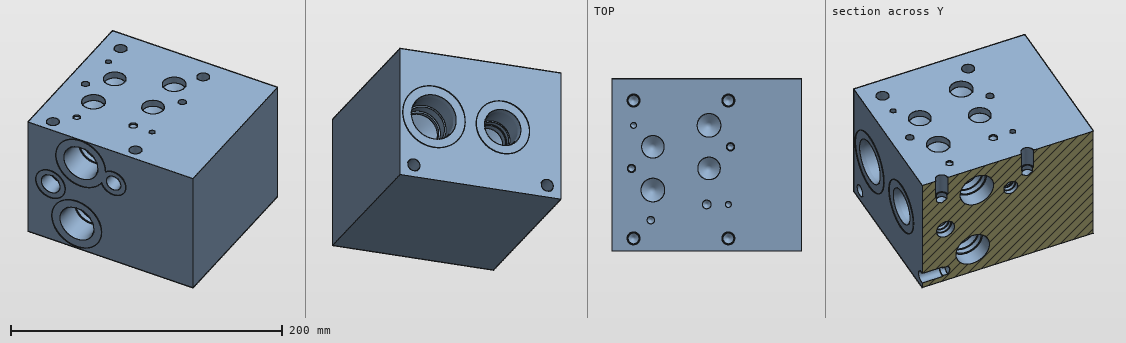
import cadquery as cq
import math

LENGTH_X = 139.7
LENGTH_Y = 127.0
LENGTH_Z = 101.5

DRILL_POINT_ANGLE = 118
ENTRY_CONE_HALF_ANGLE = 12

SPOTFACE_DEPTH = 0.5

PORT_EXTRA_LARGE = (49.2, 35.3, 33.8, 31.3, 28.6, 19.5, 28, 30.7)
PORT_LARGE = (42.0, 28.6, 27.0, 24.9, 23.0, 21, 25.1, 30.7)
PORT_MEDIUM = (24.9, 15.8, 14.2, 12.9, 11.5, 14, 16.8, 19.5)
PORT_SMALL = (21.1, 12.3, 11.0, 9.8, 8.7, 12.6, 15.4, 16.8)

SIDE_PORT_Z = LENGTH_Z / 2
TANK_PORT_Y = 100.2
PRESSURE_PORT_Y = 45.8

PORT_A = (41.2, 22.2)
PORT_B = (44.5, 79.6)
PORT_X = (72.2, 71.5)
PORT_Y = (19.0, LENGTH_Z / 2)

BOLT_HOLE = (9.5, 8.0, 16.8, 21)
SMALL_BOLT_HOLE = (6.0, 5.0, 14, 16.8)

MOUNT_Z = 9.5
MOUNT_END_MARGIN = 10.9

PATTERN_X = 85.8
PATTERN_Y = 110.9
PATTERN_LENGTH = 101.5
PATTERN_WIDTH = 69.8

RIGHT_ROW = 14.2
LEFT_ROW = 55.6
TANK_STATION = 18.3
A_STATION = 34.1
PRESSURE_STATION = 50.0
B_STATION = 66.0
X_STATION = 76.5
SMALL_BOLT_OFFSET = 1.5

BOLTS = [(0, 0), (PATTERN_LENGTH, 0), (0, PATTERN_WIDTH), (PATTERN_LENGTH, PATTERN_WIDTH)]
SMALL_BOLTS = [
    (A_STATION, -SMALL_BOLT_OFFSET),
    (PRESSURE_STATION, PATTERN_WIDTH + SMALL_BOLT_OFFSET),
]
TANK_PASSAGE = (TANK_STATION, RIGHT_ROW)
PRESSURE_PASSAGE = (PRESSURE_STATION, RIGHT_ROW)
A_PASSAGE = (A_STATION, LEFT_ROW)
B_PASSAGE = (B_STATION, LEFT_ROW)
X_PASSAGE = (X_STATION, 15.9)
Y_PASSAGE = (88.2, 57.1)
PIN_PLACES = [(X_STATION, 0), (TANK_STATION, PATTERN_WIDTH)]

NARROW_PASSAGE = (16.6, 5.6)
WIDE_PASSAGE = (17.5, 5.6)
X_PILOT_HOLE = (6.4, 1.4)
Y_PILOT_HOLE = (5.5, 1.4)
PIN_HOLE = (4.3, 7)


def drill_point(diameter):
    """Height of the conical tip that a drill leaves."""
    return diameter / 2 / math.tan(math.radians(DRILL_POINT_ANGLE / 2))


def revolved_cutter(profile):
    """Cutter about Z whose mouth is at z = 0; the profile lists radius and depth from rim to tip."""
    points = [(0, 0)] + [(radius, -depth) for radius, depth in profile]
    return cq.Workplane("XZ").polyline(points).close().revolve(360, (0, 0), (0, 1))


def plain_hole(diameter, depth):
    radius = diameter / 2
    return revolved_cutter([(radius, 0), (radius, depth), (0, depth + drill_point(diameter))])


def bolt_hole(thread, drill, thread_depth, depth):
    return revolved_cutter([
        (thread / 2, 0),
        (thread / 2, thread_depth),
        (drill / 2, thread_depth),
        (drill / 2, depth),
        (0, depth + drill_point(drill)),
    ])


def port(spotface, rim, thread, tap, drill, thread_depth, tap_depth, depth):
    cone_end = SPOTFACE_DEPTH + (rim - thread) / 2 / math.tan(math.radians(ENTRY_CONE_HALF_ANGLE))
    return revolved_cutter([
        (spotface / 2, 0),
        (spotface / 2, SPOTFACE_DEPTH),
        (rim / 2, SPOTFACE_DEPTH),
        (thread / 2, cone_end),
        (thread / 2, thread_depth),
        (tap / 2, thread_depth),
        (tap / 2, tap_depth),
        (drill / 2, tap_depth),
        (drill / 2, depth),
        (0, depth + drill_point(drill)),
    ])


def in_top(cutter, place):
    forward, left = place
    return cutter.translate((PATTERN_X - left, PATTERN_Y - forward, LENGTH_Z))


def in_front(cutter, place):
    x, z = place
    return cutter.rotate((0, 0, 0), (1, 0, 0), 90).translate((x, 0, z))


def in_left(cutter, y, z):
    return cutter.rotate((0, 0, 0), (0, 1, 0), -90).translate((0, y, z))


cutters = [
    in_left(port(*PORT_EXTRA_LARGE), TANK_PORT_Y, SIDE_PORT_Z),
    in_left(port(*PORT_LARGE), PRESSURE_PORT_Y, SIDE_PORT_Z),
    in_front(port(*PORT_LARGE), PORT_A),
    in_front(port(*PORT_LARGE), PORT_B),
    in_front(port(*PORT_SMALL), PORT_X),
    in_front(port(*PORT_MEDIUM), PORT_Y),
    in_top(plain_hole(*WIDE_PASSAGE), TANK_PASSAGE),
    in_top(plain_hole(*NARROW_PASSAGE), PRESSURE_PASSAGE),
    in_top(plain_hole(*NARROW_PASSAGE), A_PASSAGE),
    in_top(plain_hole(*WIDE_PASSAGE), B_PASSAGE),
    in_top(plain_hole(*X_PILOT_HOLE), X_PASSAGE),
    in_top(plain_hole(*Y_PILOT_HOLE), Y_PASSAGE),
]
cutters += [in_top(bolt_hole(*BOLT_HOLE), place) for place in BOLTS]
cutters += [in_top(bolt_hole(*SMALL_BOLT_HOLE), place) for place in SMALL_BOLTS]
cutters += [in_top(plain_hole(*PIN_HOLE), place) for place in PIN_PLACES]
for mount_y in (MOUNT_END_MARGIN, LENGTH_Y - MOUNT_END_MARGIN):
    cutters.append(in_left(bolt_hole(*BOLT_HOLE), mount_y, MOUNT_Z))

result = cq.Workplane("XY").box(LENGTH_X, LENGTH_Y, LENGTH_Z, centered=False)
for cutter in cutters:
    result = result.cut(cutter)